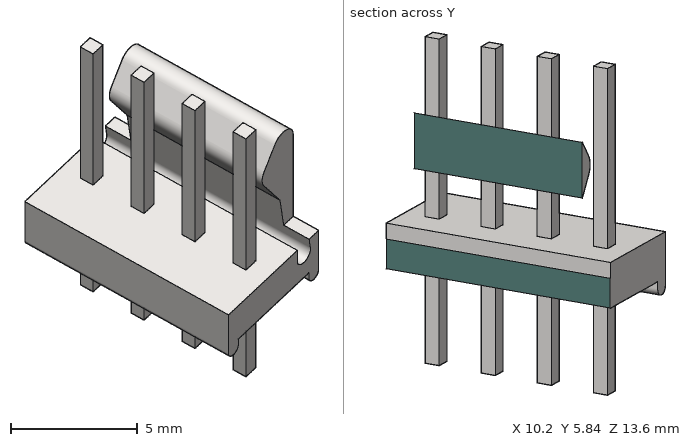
import cadquery as cq
import math


pin_count = 4
pitch = 2.54
pin_size = 0.64
pin_above_housing = 7.49
pin_below_feet = 3.56

housing_length = pin_count * pitch
housing_depth = 5.84
housing_height = 1.905
foot_height = 0.635
foot_radius = foot_height / 2
foot_width = 2 * foot_radius
foot_arc_z = foot_radius - foot_height
row_to_front = 2.68
front_y = -row_to_front
back_y = front_y + housing_depth

latch_end_inset = pitch / 2
latch_top_z = 7.24
head_radius = 0.66
nose_radius = 0.71
nose_reach = 2.015
nose_z = 5.59
bend_thickness = 0.862
bend_z = 3.53

slot_radius = 0.425
slot_from_back = 0.96
slot_centre_z = 1.287

head_centre = (back_y - head_radius, latch_top_z - head_radius)
nose_centre = (back_y - nose_reach + nose_radius, nose_z)
bend = (back_y - bend_thickness, bend_z)
slot_centre = (back_y - slot_from_back, slot_centre_z)


def polar(centre, radius, angle):
    """Point at an angle on a circle."""
    return (centre[0] + radius * math.cos(angle), centre[1] + radius * math.sin(angle))


def normal_angle(start, start_radius, end, end_radius):
    """Left-hand normal of the tangent line shared by two circles; a zero radius means a point."""
    dy = end[0] - start[0]
    dz = end[1] - start[1]
    tilt = math.acos((start_radius - end_radius) / math.hypot(dy, dz))
    return math.atan2(dz, dy) + tilt


def make_profile():
    """Housing, feet and latch outline, drawn from the front top edge round the feet, head, nose and slot."""
    slot_angle = normal_angle(bend, 0, slot_centre, slot_radius)
    nose_lower = normal_angle(bend, 0, nose_centre, nose_radius)
    nose_upper = normal_angle(nose_centre, nose_radius, head_centre, head_radius)
    slot_front_y = slot_centre[0] - slot_radius

    return (
        cq.Workplane("YZ")
        .moveTo(front_y, housing_height)
        .lineTo(front_y, foot_arc_z)
        .threePointArc(
            (front_y + foot_radius, -foot_height),
            (front_y + foot_width, foot_arc_z),
        )
        .lineTo(front_y + foot_width, 0)
        .lineTo(back_y - foot_width, 0)
        .lineTo(back_y - foot_width, foot_arc_z)
        .threePointArc(
            (back_y - foot_radius, -foot_height),
            (back_y, foot_arc_z),
        )
        .lineTo(back_y, head_centre[1])
        .threePointArc(
            polar(head_centre, head_radius, nose_upper / 2),
            polar(head_centre, head_radius, nose_upper),
        )
        .lineTo(*polar(nose_centre, nose_radius, nose_upper))
        .threePointArc(
            polar(nose_centre, nose_radius, (nose_upper + nose_lower) / 2),
            polar(nose_centre, nose_radius, nose_lower),
        )
        .lineTo(*bend)
        .lineTo(*polar(slot_centre, slot_radius, slot_angle))
        .threePointArc(
            (slot_centre[0], slot_centre[1] - slot_radius),
            (slot_front_y, slot_centre[1]),
        )
        .lineTo(slot_front_y, housing_height)
        .close()
    )


def make_housing():
    """Full-length profile with the latch shortened at both ends."""
    housing = make_profile().extrude(housing_length / 2, both=True)
    latch_height = latch_top_z - housing_height
    for side in (-1, 1):
        end_cut = (
            cq.Workplane("XY", origin=(0, 0, housing_height))
            .center(side * (housing_length - latch_end_inset) / 2, back_y - nose_reach / 2)
            .rect(latch_end_inset, nose_reach)
            .extrude(latch_height)
        )
        housing = housing.cut(end_cut)
    return housing


def make_pins():
    """Row of square pins passing right through the housing."""
    pin_bottom_z = -foot_height - pin_below_feet
    pin_length = housing_height + pin_above_housing - pin_bottom_z
    return (
        cq.Workplane("XY", origin=(0, 0, pin_bottom_z))
        .rarray(pitch, 1, pin_count, 1)
        .rect(pin_size, pin_size)
        .extrude(pin_length)
    )


result = make_housing().union(make_pins())